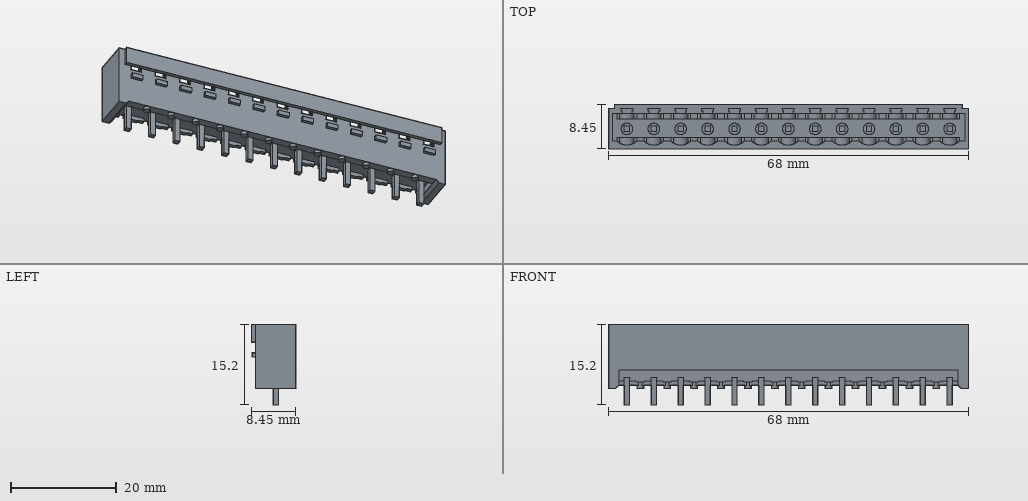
import cadquery as cq

LENGTH = 67.95
DEPTH = 7.7
HEIGHT = 12.1
END_WALL = 0.7

PIN_COUNT = 13
ROW_SPAN = 60.95
PITCH = ROW_SPAN / (PIN_COUNT - 1)
ROW_CENTRE = -0.1
PIN_SIZE = 1.0
PIN_Y = 3.8
PIN_TAIL = 3.1
PIN_TIP_GAP = 1.0
COLLAR_DIAMETER = 2.2
COLLAR_HEIGHT = 0.35

PIN_XS = [ROW_CENTRE + (i - (PIN_COUNT - 1) / 2) * PITCH for i in range(PIN_COUNT)]
MID_XS = [x + PITCH / 2 for x in PIN_XS[:-1]]

FLOOR_Z = 4.35
FRONT_WALL = 1.55
BACK_WALL = 0.95
CAVITY_BACK = DEPTH - BACK_WALL
SCALLOP_WIDTH = 3.75
SCALLOP_DEPTH = 0.8

FLOOR_RIB_FRONT = 2.2
FLOOR_RIB_BACK = 5.7
BAND_DEPTH = 0.3
BAND_Z = FLOOR_Z - BAND_DEPTH
BARREL_RADIUS = 1.35
POCKET_Z = BAND_Z - BARREL_RADIUS

GROOVE_WIDTH = 2.25
GROOVE_MOUTH_WIDTH = 1.85
GROOVE_MOUTH_DEPTH = 0.5
GROOVE_BOTTOM = 7.9
RAIL_LENGTH = 65.7
RAIL_DEPTH = 0.75
RAIL_HEIGHT = 3.4
NUB_DEPTH = 0.6
NUB_BOTTOM = 5.9
NUB_TOP = 6.8

SKIRT_LENGTH = 64.0
SKIRT_RECESS = 0.6
LEDGE_Z = 3.5
SKIRT_BOTTOM = 1.4
SKIRT_THICKNESS = 0.75
SLOT_TOP = 2.1
LEG_CHAMFER = 0.6
TAB_WIDTH = 1.35
TAB_DROP = 0.2
TAB_FLARE = 0.3
BACK_SKIRT_FRONT = 6.05
LOBE_BOTTOM = 0.6
LOBE_GAP = 0.6
LOBE_THICKNESS = 0.8
LOBE_BACK = BACK_SKIRT_FRONT + LOBE_THICKNESS
FOOT_DIAMETER = 1.3
FOOT_Y = 6.9


def block(x0, x1, y0, y1, z0, z1):
    """Box between two opposite corners."""
    return cq.Workplane("XY").box(x1 - x0, y1 - y0, z1 - z0, centered=False).translate((x0, y0, z0))


def block_at(x, width, y0, y1, z0, z1):
    """Box of the given X width centred on x."""
    return block(x - width / 2, x + width / 2, y0, y1, z0, z1)


def group(parts):
    """Separate solids gathered so that one boolean handles them all."""
    return cq.Workplane(cq.Compound.makeCompound([part.val() for part in parts]))


def scallop(x, z0):
    """Round-backed cut into the front wall, from z0 up to the rim."""
    half = SCALLOP_WIDTH / 2
    return (
        cq.Workplane("XY")
        .workplane(offset=z0)
        .moveTo(x - half, FRONT_WALL)
        .threePointArc((x, FRONT_WALL - SCALLOP_DEPTH), (x + half, FRONT_WALL))
        .lineTo(x + half, FLOOR_RIB_FRONT)
        .lineTo(x - half, FLOOR_RIB_FRONT)
        .close()
        .extrude(HEIGHT - z0)
    )


def barrel(x, y0, y1):
    """Half-round ridge along Y with its crown level with the band."""
    upper_half = block_at(x, 2 * BARREL_RADIUS, y0, y1, POCKET_Z, BAND_Z)
    cylinder = cq.Workplane("XZ", origin=(x, y0, POCKET_Z)).circle(BARREL_RADIUS).extrude(y0 - y1)
    return cylinder.intersect(upper_half)


def cut_cavity(body):
    end = LENGTH / 2 - END_WALL
    body = body.cut(block(-end, end, FRONT_WALL, CAVITY_BACK, FLOOR_Z, HEIGHT))
    band_start = PIN_XS[0] - SCALLOP_WIDTH / 2
    band_end = PIN_XS[-1] + SCALLOP_WIDTH / 2
    body = body.cut(block(band_start, band_end, FRONT_WALL, FLOOR_RIB_FRONT, BAND_Z, FLOOR_Z))
    body = body.cut(block(band_start, band_end, FLOOR_RIB_BACK, CAVITY_BACK, BAND_Z, FLOOR_Z))
    cuts = []
    for x in PIN_XS:
        front_barrel = barrel(x, FRONT_WALL - SCALLOP_DEPTH, FLOOR_RIB_FRONT)
        back_barrel = barrel(x, FLOOR_RIB_BACK, CAVITY_BACK)
        back_pocket = block_at(x, SCALLOP_WIDTH, FLOOR_RIB_BACK, CAVITY_BACK, POCKET_Z, BAND_Z)
        cuts.append(scallop(x, POCKET_Z).cut(front_barrel))
        cuts.append(back_pocket.cut(back_barrel))
    return body.cut(group(cuts))


def groove(x):
    """T-shaped groove, narrower at its mouth than at the outside of the back wall."""
    step_y = CAVITY_BACK + GROOVE_MOUTH_DEPTH
    mouth = block_at(x, GROOVE_MOUTH_WIDTH, CAVITY_BACK, step_y, GROOVE_BOTTOM, HEIGHT)
    return mouth.union(block_at(x, GROOVE_WIDTH, step_y, DEPTH, GROOVE_BOTTOM, HEIGHT))


def add_rail_and_nubs(body):
    rail_back = DEPTH + RAIL_DEPTH
    body = body.union(block_at(ROW_CENTRE, RAIL_LENGTH, DEPTH, rail_back, HEIGHT - RAIL_HEIGHT, HEIGHT))
    nub_back = DEPTH + NUB_DEPTH
    nubs = [block_at(x, GROOVE_WIDTH, DEPTH, nub_back, NUB_BOTTOM, NUB_TOP) for x in PIN_XS]
    return body.union(group(nubs))


def cut_underside(body):
    """Opens the underside between the two end legs and recesses the front skirt."""
    half = SKIRT_LENGTH / 2
    opening = (
        cq.Workplane("XZ")
        .moveTo(ROW_CENTRE - half - LEG_CHAMFER, 0)
        .lineTo(ROW_CENTRE - half, LEG_CHAMFER)
        .lineTo(ROW_CENTRE - half, SLOT_TOP)
        .lineTo(ROW_CENTRE + half, SLOT_TOP)
        .lineTo(ROW_CENTRE + half, LEG_CHAMFER)
        .lineTo(ROW_CENTRE + half + LEG_CHAMFER, 0)
        .close()
        .extrude(-DEPTH)
    )
    recess = block_at(ROW_CENTRE, SKIRT_LENGTH, 0, SKIRT_RECESS, SLOT_TOP, LEDGE_Z)
    return body.cut(opening).cut(recess)


def front_skirt():
    """Thin wall below the ledge, slotted at each pin and tabbed midway between pins."""
    back = SKIRT_RECESS + SKIRT_THICKNESS
    skirt = block_at(ROW_CENTRE, SKIRT_LENGTH, SKIRT_RECESS, back, SKIRT_BOTTOM, SLOT_TOP)
    half = TAB_WIDTH / 2
    tabs = []
    for x in MID_XS:
        tab = (
            cq.Workplane("XZ", origin=(x, SKIRT_RECESS, SKIRT_BOTTOM))
            .moveTo(-half - TAB_FLARE, 0)
            .lineTo(-half, -TAB_DROP)
            .lineTo(half, -TAB_DROP)
            .lineTo(half + TAB_FLARE, 0)
            .close()
            .extrude(-SKIRT_THICKNESS)
        )
        tabs.append(tab)
    slots = [block_at(x, PIN_SIZE, SKIRT_RECESS, back, SKIRT_BOTTOM, SLOT_TOP) for x in PIN_XS]
    return skirt.union(group(tabs)).cut(group(slots))


def back_skirt():
    """Lobes behind the pins, parted by narrow gaps with a round foot behind each gap."""
    skirt = block_at(ROW_CENTRE, SKIRT_LENGTH, BACK_SKIRT_FRONT, DEPTH, LOBE_BOTTOM, SLOT_TOP)
    gaps = [block_at(x, LOBE_GAP, BACK_SKIRT_FRONT, LOBE_BACK, LOBE_BOTTOM, SLOT_TOP) for x in MID_XS]
    feet = (
        cq.Workplane("XY")
        .pushPoints([(x, FOOT_Y) for x in MID_XS])
        .circle(FOOT_DIAMETER / 2)
        .extrude(SLOT_TOP)
    )
    return skirt.cut(group(gaps)).union(feet)


def pin(x):
    """Square pin with a round collar on the floor."""
    half = PIN_SIZE / 2
    post = block_at(x, PIN_SIZE, PIN_Y - half, PIN_Y + half, -PIN_TAIL, HEIGHT - PIN_TIP_GAP)
    collar = (
        cq.Workplane("XY", origin=(x, PIN_Y, FLOOR_Z))
        .circle(COLLAR_DIAMETER / 2)
        .extrude(COLLAR_HEIGHT)
    )
    return post.union(collar)


body = block(-LENGTH / 2, LENGTH / 2, 0, DEPTH, 0, HEIGHT)
body = cut_cavity(body)
body = body.cut(group([groove(x) for x in PIN_XS]))
body = add_rail_and_nubs(body)
body = cut_underside(body)
body = body.union(front_skirt()).union(back_skirt())
body = body.union(group([pin(x) for x in PIN_XS]))

result = body